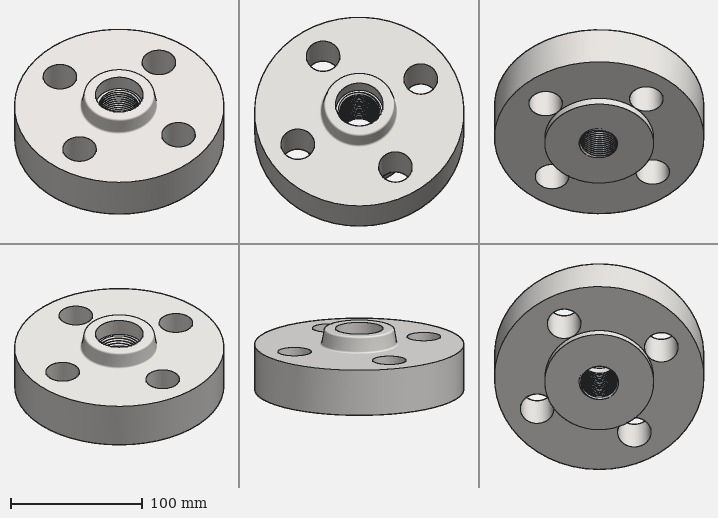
import cadquery as cq
import math

flange_diameter = 158.7
flange_thickness = 35.4

face_diameter = 82.5
face_height = 6.3

hub_base_diameter = 57.3
hub_height = 12.4
hub_draft = 10.0
hub_fillet = 1.6

bolt_hole_count = 4
bolt_hole_diameter = 25.4
bolt_circle_diameter = 108.1

counterbore_diameter = 36.0
counterbore_depth = 12.7
thread_taper = 1 / 32
thread_turns = 18
thread_depth = 1.6
crest_width = 0.24
crest_top_radius = 14.9
runout_turns = 1
groove_overlap = 0.2

bottom_z = -face_height
hub_top_z = flange_thickness + hub_height
counterbore_floor_z = hub_top_z - counterbore_depth
thread_pitch = (counterbore_floor_z - bottom_z) / thread_turns


def crest_radius(z):
    """Radius of the tapered bore at height z."""
    return crest_top_radius - (counterbore_floor_z - z) * thread_taper


def make_hub():
    base_radius = hub_base_diameter / 2
    top_radius = base_radius - hub_height * math.tan(math.radians(hub_draft))
    profile = (
        cq.Workplane("XZ", origin=(0, 0, flange_thickness))
        .polyline([(0, 0), (base_radius, 0), (top_radius, hub_height), (0, hub_height)])
        .close()
    )
    return profile.revolve(360, (0, 0), (0, 1))


def make_body():
    disc = cq.Workplane("XY").circle(flange_diameter / 2).extrude(flange_thickness)
    raised_face = cq.Workplane("XY").circle(face_diameter / 2).extrude(-face_height)
    body = disc.union(raised_face).union(make_hub())
    hub_rim = cq.selectors.RadiusNthSelector(0)
    hub_root = cq.selectors.RadiusNthSelector(1)
    return body.edges(hub_rim + hub_root).fillet(hub_fillet)


def make_bolt_holes():
    return (
        cq.Workplane("XY", origin=(0, 0, bottom_z))
        .polarArray(bolt_circle_diameter / 2, 0, 360, bolt_hole_count)
        .circle(bolt_hole_diameter / 2)
        .extrude(hub_top_z - bottom_z)
    )


def make_tapered_bore():
    profile = (
        cq.Workplane("XZ")
        .moveTo(0, bottom_z)
        .lineTo(crest_radius(bottom_z), bottom_z)
        .lineTo(crest_top_radius, counterbore_floor_z)
        .lineTo(0, counterbore_floor_z)
        .close()
    )
    return profile.revolve(360, (0, 0), (0, 1))


def make_counterbore():
    return (
        cq.Workplane("XY", origin=(0, 0, counterbore_floor_z))
        .circle(counterbore_diameter / 2)
        .extrude(counterbore_depth)
    )


def make_thread_groove():
    """V groove on a tapered right-hand helix, centred at the counterbore floor on the +Y side."""
    turns = thread_turns + 2 * runout_turns
    start_z = bottom_z - runout_turns * thread_pitch
    start_radius = crest_radius(start_z)
    taper_angle = math.degrees(math.atan(thread_taper))
    helix = cq.Wire.makeHelix(thread_pitch, turns * thread_pitch, start_radius, angle=taper_angle)

    half_width = (thread_pitch - crest_width) / 2
    inner_radius = start_radius - groove_overlap
    profile = (
        cq.Workplane("XZ")
        .moveTo(inner_radius, -half_width)
        .lineTo(start_radius, -half_width)
        .lineTo(start_radius + thread_depth, 0)
        .lineTo(start_radius, half_width)
        .lineTo(inner_radius, half_width)
        .close()
    )
    groove = profile.sweep(cq.Workplane(helix), isFrenet=True)
    return groove.rotate((0, 0, 0), (0, 0, 1), 90).translate((0, 0, start_z))


result = (
    make_body()
    .cut(make_bolt_holes())
    .cut(make_counterbore())
    .cut(make_tapered_bore())
    .cut(make_thread_groove())
)